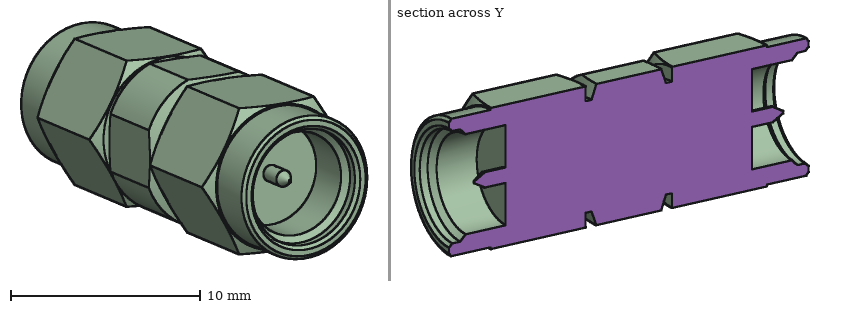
import cadquery as cq
import math

HALF_LENGTH = 22.6 / 2

HEX_ACROSS_FLATS = 8.0
HEX_ACROSS_CORNERS = HEX_ACROSS_FLATS / math.cos(math.pi / 6)
HEX_INNER_X = 2.69
HEX_OUTER_X = 8.69
HEX_END_RADIUS = 3.97
HEX_CHAMFER_ANGLE = math.radians(30)
COLLAR_RADIUS = 3.9
COLLAR_CHAMFER_RADIAL = 0.2
COLLAR_CHAMFER_AXIAL = 0.15

BODY_RADIUS = 4.3
BODY_ACROSS_FLATS = 8.0
BODY_HALF_LENGTH = 2.35
BODY_BEVEL_ANGLE = math.radians(20)
NECK_RADIUS = 3.17

MOUTH_RADIUS = 3.37
ENTRY_RADIUS = 3.165
ENTRY_END_X = 10.6
BORE_RADIUS = 2.82
FLOOR_X = 7.74

PIN_RADIUS = 0.45
PIN_TIP_RADIUS = 0.07
PIN_TIP_X = 9.7
PIN_POINT_HALF_ANGLE = math.radians(30)


def revolve_profile(points):
    """Revolve an (x, radius) outline about the X axis."""
    return cq.Workplane("XY").polyline(points).close().revolve(360, (0, 0, 0), (1, 0, 0))


def bevelled_bar(start_x, end_x, radius, end_radius, bevel_length):
    """Round bar with both ends bevelled down to end_radius."""
    return revolve_profile([
        (start_x, 0),
        (start_x, end_radius),
        (start_x + bevel_length, radius),
        (end_x - bevel_length, radius),
        (end_x, end_radius),
        (end_x, 0),
    ])


def centre_body():
    """Bevelled bar with four flats, with a neck reaching the nut on each side."""
    bevel_length = (BODY_RADIUS - NECK_RADIUS) * math.tan(BODY_BEVEL_ANGLE)
    bar = bevelled_bar(-BODY_HALF_LENGTH, BODY_HALF_LENGTH, BODY_RADIUS, NECK_RADIUS, bevel_length)
    flats = cq.Workplane("XY").box(2 * BODY_HALF_LENGTH, BODY_ACROSS_FLATS, BODY_ACROSS_FLATS)
    neck = cq.Workplane("YZ").circle(NECK_RADIUS).extrude(HEX_INNER_X, both=True)
    return bar.intersect(flats).union(neck)


def coupling_hex():
    """Hexagon with corners on the Y axis and both ends chamfered."""
    corner_radius = HEX_ACROSS_CORNERS / 2
    chamfer_length = (corner_radius - HEX_END_RADIUS) * math.tan(HEX_CHAMFER_ANGLE)
    prism = (
        cq.Workplane("YZ", origin=(HEX_INNER_X, 0, 0))
        .polygon(6, HEX_ACROSS_CORNERS)
        .extrude(HEX_OUTER_X - HEX_INNER_X)
    )
    envelope = bevelled_bar(HEX_INNER_X, HEX_OUTER_X, corner_radius, HEX_END_RADIUS, chamfer_length)
    return prism.intersect(envelope)


def collar():
    """Round nose of the coupling nut, chamfered at the mouth."""
    return revolve_profile([
        (HEX_OUTER_X, 0),
        (HEX_OUTER_X, COLLAR_RADIUS),
        (HALF_LENGTH - COLLAR_CHAMFER_AXIAL, COLLAR_RADIUS),
        (HALF_LENGTH, COLLAR_RADIUS - COLLAR_CHAMFER_RADIAL),
        (HALF_LENGTH, 0),
    ])


def mouth_cavity():
    """Stepped opening from the connector face to the bore floor."""
    return revolve_profile([
        (FLOOR_X, 0),
        (FLOOR_X, BORE_RADIUS),
        (ENTRY_END_X - (ENTRY_RADIUS - BORE_RADIUS), BORE_RADIUS),
        (ENTRY_END_X, ENTRY_RADIUS),
        (HALF_LENGTH - (MOUTH_RADIUS - ENTRY_RADIUS), ENTRY_RADIUS),
        (HALF_LENGTH, MOUTH_RADIUS),
        (HALF_LENGTH, 0),
    ])


def contact_pin():
    """Pointed pin standing on the bore floor."""
    point_length = (PIN_RADIUS - PIN_TIP_RADIUS) / math.tan(PIN_POINT_HALF_ANGLE)
    return revolve_profile([
        (FLOOR_X, 0),
        (FLOOR_X, PIN_RADIUS),
        (PIN_TIP_X - point_length, PIN_RADIUS),
        (PIN_TIP_X, PIN_TIP_RADIUS),
        (PIN_TIP_X, 0),
    ])


def connector():
    """Connector on the +X side of the adapter."""
    return coupling_hex().union(collar()).cut(mouth_cavity()).union(contact_pin())


right_connector = connector()
left_connector = right_connector.mirror("YZ")
result = centre_body().union(right_connector).union(left_connector)